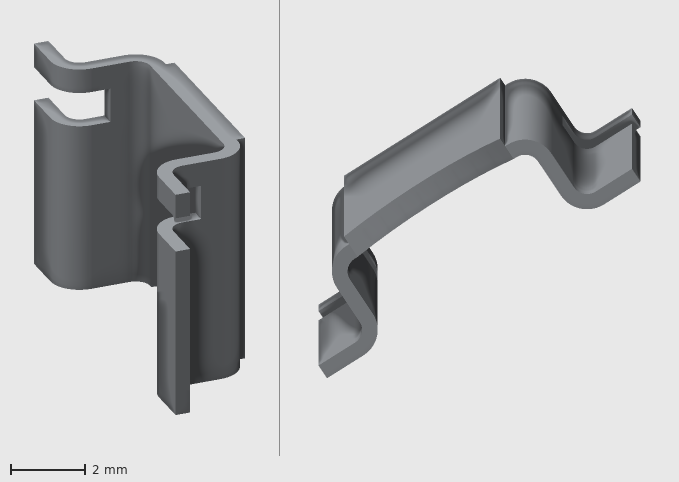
import cadquery as cq

overall_width = 10.06
overall_depth = 3.06
height = 6.6

plate_width = 5.01
plate_thickness = 0.67
arch_rise = 0.68

strip_thickness = 0.42
inner_bend_radius = 0.42
outer_bend_radius = inner_bend_radius + strip_thickness
wall_inset = 1.59

slot_height = 1.0
slot_depth = 1.4
slot_top_gap = 0.7

plate_front = overall_depth - plate_thickness
tip_x = overall_width / 2
plate_edge_x = plate_width / 2


def make_plate():
    """Flat plate with a shallow arch cut from its bottom edge."""
    return (
        cq.Workplane("XZ", origin=(0, overall_depth, 0))
        .moveTo(-plate_edge_x, 0)
        .threePointArc((0, arch_rise), (plate_edge_x, 0))
        .lineTo(plate_edge_x, height)
        .lineTo(-plate_edge_x, height)
        .close()
        .extrude(plate_thickness)
    )


def make_right_strip():
    """Strip bent from the plate edge into a wall and an outward foot, with its slot."""
    wall_outer_x = tip_x - wall_inset
    wall_inner_x = wall_outer_x - strip_thickness
    strip_back = plate_front + strip_thickness

    profile = (
        cq.Workplane("XY")
        .moveTo(plate_edge_x, plate_front)
        .lineTo(plate_edge_x, strip_back)
        .lineTo(wall_outer_x - outer_bend_radius, strip_back)
        .radiusArc((wall_outer_x, strip_back - outer_bend_radius), outer_bend_radius)
        .lineTo(wall_outer_x, outer_bend_radius)
        .radiusArc((wall_outer_x + inner_bend_radius, strip_thickness), -inner_bend_radius)
        .lineTo(tip_x, strip_thickness)
        .lineTo(tip_x, 0)
        .lineTo(wall_inner_x + outer_bend_radius, 0)
        .radiusArc((wall_inner_x, outer_bend_radius), outer_bend_radius)
        .lineTo(wall_inner_x, plate_front - inner_bend_radius)
        .radiusArc((wall_inner_x - inner_bend_radius, plate_front), -inner_bend_radius)
        .close()
    )
    slot = cq.Workplane("XY").box(
        tip_x - plate_edge_x, slot_depth, slot_height, centered=False
    ).translate((plate_edge_x, 0, height - slot_top_gap - slot_height))
    return profile.extrude(height).cut(slot)


plate = make_plate()
right_strip = make_right_strip()
left_strip = right_strip.mirror("YZ")

result = cq.Compound.makeCompound([plate.val(), right_strip.val(), left_strip.val()])